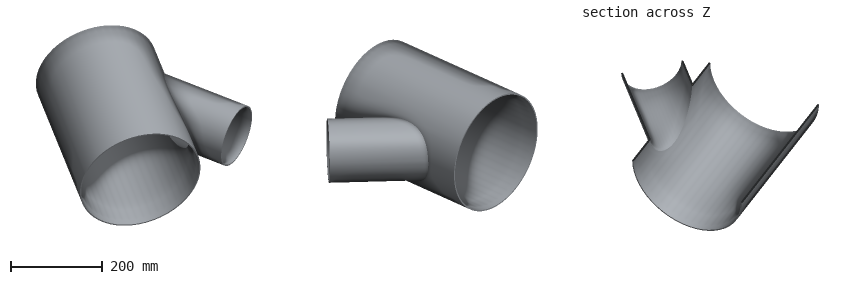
import cadquery as cq
import math

main_outer_diameter = 273.0
main_length = 348.0

branch_outer_diameter = 139.7
branch_angle = 45.0
branch_short_side = 75.0

wall = 3.0

main_outer_radius = main_outer_diameter / 2
main_bore_radius = main_outer_radius - wall
branch_outer_radius = branch_outer_diameter / 2
branch_bore_radius = branch_outer_radius - wall

angle = math.radians(branch_angle)
crest_to_end = branch_short_side + branch_outer_radius / math.tan(angle)

branch_start_y = branch_outer_radius * math.cos(angle)
branch_start_x = (branch_start_y - main_outer_radius) / math.tan(angle)
start_to_crest = (main_outer_radius - branch_start_y) / math.sin(angle)
branch_cylinder_length = start_to_crest + crest_to_end


def main_cylinder(radius):
    """Cylinder along X over the full length of the main pipe."""
    return cq.Workplane("YZ").circle(radius).extrude(main_length / 2, both=True)


def branch_cylinder(radius):
    """Cylinder along the branch axis, from inside the main bore to the open end."""
    start = cq.Vector(branch_start_x, branch_start_y, 0)
    direction = cq.Vector(math.cos(angle), math.sin(angle), 0)
    cylinder = cq.Solid.makeCylinder(radius, branch_cylinder_length, start, direction)
    return cq.Workplane(cylinder)


pipes = main_cylinder(main_outer_radius).union(branch_cylinder(branch_outer_radius))
result = pipes.cut(main_cylinder(main_bore_radius)).cut(branch_cylinder(branch_bore_radius))